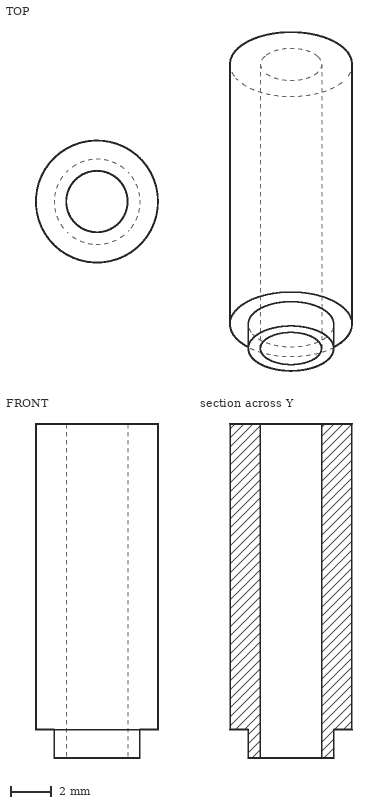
import cadquery as cq

body_diameter = 6.0
body_length = 15.0
spigot_diameter = 4.2
spigot_length = 1.4
bore_diameter = 3.0

total_length = body_length + spigot_length


def cylinder(diameter, length, base_z):
    """Upright cylinder on the Z axis, starting at base_z."""
    return cq.Workplane("XY").workplane(offset=base_z).circle(diameter / 2).extrude(length)


body = cylinder(body_diameter, body_length, 0)
spigot = cylinder(spigot_diameter, spigot_length, -spigot_length)

bore = cylinder(bore_diameter, total_length, -spigot_length)

result = body.union(spigot).cut(bore)